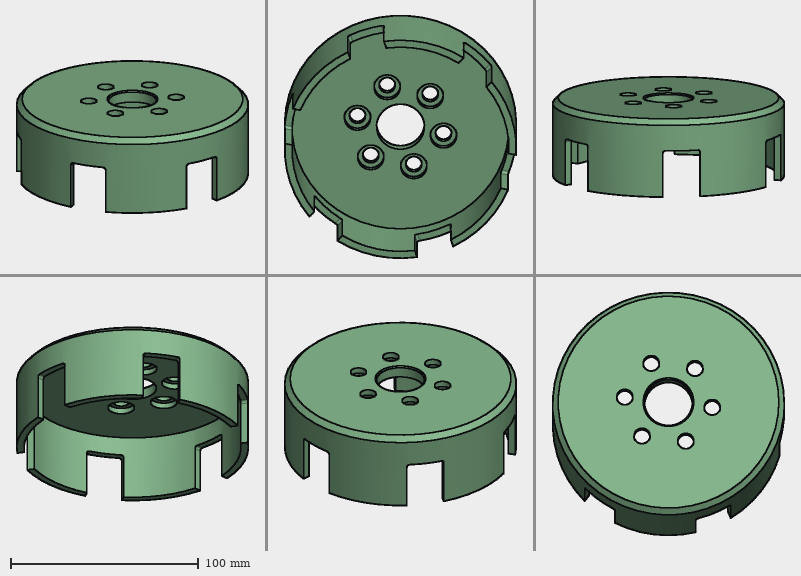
import cadquery as cq

outer_diameter = 123.8
height = 42.1
wall = 4.0
top_thickness = 6.5
rim_chamfer = 3.0

bore_diameter = 25.5
bore_chamfer = 0.7
bolt_hole_diameter = 8.5
bolt_circle_diameter = 47.0
counterbore_diameter = 14.0
bolt_seat_thickness = 3.2
bolt_count = 6

slot_count = 6
slot_width = 20.2
slot_height = 25.3
slot_corner_radius = 1.5

outer_radius = outer_diameter / 2


def make_shell():
    body = cq.Workplane("XY").circle(outer_radius).extrude(height)
    body = body.faces(">Z").edges().chamfer(rim_chamfer)
    cavity = cq.Workplane("XY").circle(outer_radius - wall).extrude(height - top_thickness)
    return body.cut(cavity)


def cut_plate_holes(body):
    bore = cq.Workplane("XY").circle(bore_diameter / 2).extrude(height)
    countersink = (
        cq.Workplane("XY", origin=(0, 0, height))
        .circle(bore_diameter / 2 + bore_chamfer)
        .workplane(offset=-bore_chamfer)
        .circle(bore_diameter / 2)
        .loft()
    )
    bolt_centres = cq.Workplane("XY").polarArray(bolt_circle_diameter / 2, 0, 360, bolt_count)
    bolt_holes = bolt_centres.circle(bolt_hole_diameter / 2).extrude(height)
    counterbores = bolt_centres.circle(counterbore_diameter / 2).extrude(height - bolt_seat_thickness)
    return body.cut(bore).cut(countersink).cut(bolt_holes).cut(counterbores)


def cut_skirt_slots(body):
    slot = (
        cq.Workplane("XY")
        .box(outer_diameter, slot_width, slot_height, centered=(False, True, False))
        .edges("|X and >Z")
        .fillet(slot_corner_radius)
    )
    for index in range(slot_count):
        body = body.cut(slot.rotate((0, 0, 0), (0, 0, 1), index * 360 / slot_count))
    return body


result = cut_skirt_slots(cut_plate_holes(make_shell()))